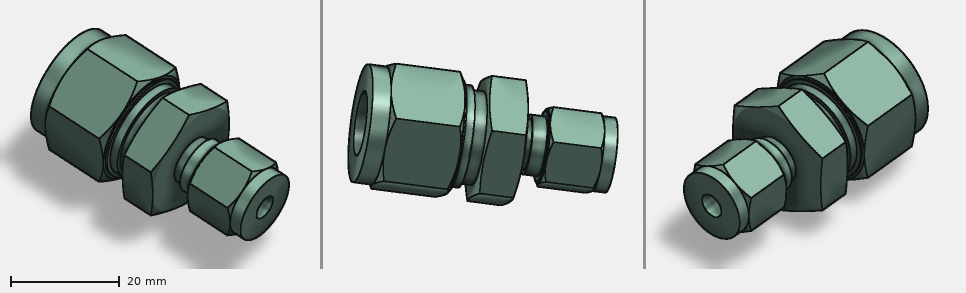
import cadquery as cq
import math


hex_sides = 6
large_flats = 22.0
small_flats = 14.0

length = 47.0
large_hex_start = 3.45
large_hex_end = 17.4
large_lip_end = 17.8
large_ring_end = 19.55
body_hex_start = 22.0
body_hex_end = 29.3
small_neck_end = 31.3
small_ring_end = 34.0
small_hex_start = 34.25
small_hex_end = 44.5

large_lip_radius = 10.45
large_ring_radius = 9.55
large_neck_radius = 8.75
small_neck_radius = 4.8
small_ring_radius = 5.6
small_lip_radius = 6.65

socket_radius = 6.0
socket_depth = body_hex_start
through_radius = 2.4

nut_chamfer_angle = 30.0
body_chamfer_angle = 15.0


def cylinder(start, end, radius):
    """Round section along X."""
    return cq.Workplane("YZ", origin=(start, 0, 0)).circle(radius).extrude(end - start)


def chamfered_hex(start, end, flats, chamfer_angle):
    """Hexagonal section along X, corners up and down, with conical corner chamfers at both ends."""
    inner = flats / 2
    corner = inner / math.cos(math.pi / hex_sides)
    chamfer = (corner - inner) * math.tan(math.radians(chamfer_angle))

    prism = (
        cq.Workplane("YZ", origin=(start, 0, 0))
        .transformed(rotate=(0, 0, 90))
        .polygon(hex_sides, 2 * corner)
        .extrude(end - start)
    )
    envelope = (
        cq.Workplane("XZ")
        .moveTo(start, 0)
        .lineTo(start, inner)
        .lineTo(start + chamfer, corner)
        .lineTo(end - chamfer, corner)
        .lineTo(end, inner)
        .lineTo(end, 0)
        .close()
        .revolve(360, (0, 0, 0), (1, 0, 0))
    )
    return prism.intersect(envelope)


hex_sections = [
    chamfered_hex(large_hex_start, large_hex_end, large_flats, nut_chamfer_angle),
    chamfered_hex(body_hex_start, body_hex_end, large_flats, body_chamfer_angle),
    chamfered_hex(small_hex_start, small_hex_end, small_flats, nut_chamfer_angle),
]

round_sections = [
    cylinder(0, large_hex_start, large_flats / 2),
    cylinder(large_hex_end, large_lip_end, large_lip_radius),
    cylinder(large_lip_end, large_ring_end, large_ring_radius),
    cylinder(large_ring_end, body_hex_start, large_neck_radius),
    cylinder(body_hex_end, small_neck_end, small_neck_radius),
    cylinder(small_neck_end, small_ring_end, small_ring_radius),
    cylinder(small_ring_end, small_hex_start, small_lip_radius),
    cylinder(small_hex_end, length, small_flats / 2),
]

fitting = hex_sections[0]
for section in hex_sections[1:] + round_sections:
    fitting = fitting.union(section)

socket = cylinder(0, socket_depth, socket_radius)
through_bore = cylinder(0, length, through_radius)

result = fitting.cut(socket).cut(through_bore)